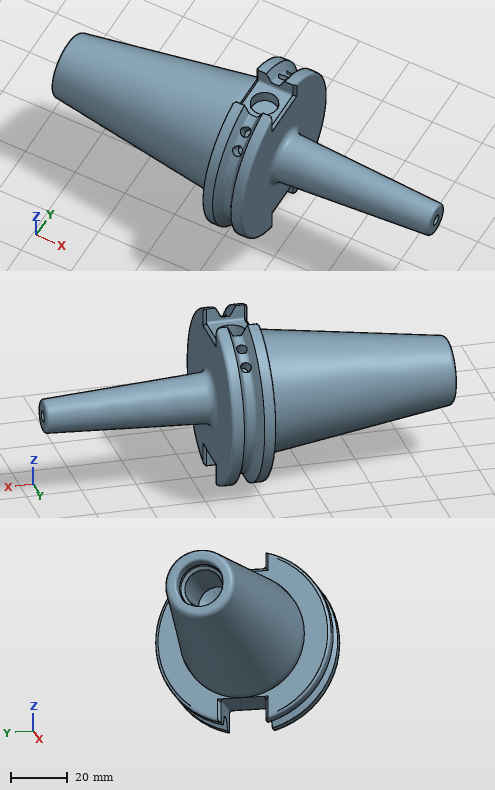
import cadquery as cq
import math


total_length = 148.2

gauge_x = 68.2
gauge_radius = 22.2
taper_slope = 7 / 48
taper_end_round = 2.0

flange_start = 71.3
flange_end = 87.3
flange_radius = 31.7
flange_round = 1.0

groove_floor_radius = 28.0
groove_floor_width = 3.1
groove_wall_angle = 30.0
groove_root_round = 1.0

nose_tip_radius = 6.1
nose_angle = 3.0
nose_tip_round = 1.0
nose_root_round = 2.7

through_bore_radius = 2.0
thread_radius = 6.8
thread_depth = 29.6
thread_mouth_radius = 8.0
thread_mouth_depth = 5.8
thread_mouth_angle = 90.0
counterbore_radius = 8.3
counterbore_depth = 5.0
counterbore_rim_round = 0.9
drill_tip_angle = 118.0

slot_width = 16.2
slot_corner_round = 1.0
slot_chamfer = 1.0
slot_clearance = 1.5
top_slot_floor = 24.9
bottom_slot_floor = gauge_radius

chip_hole_diameter = 10.1
chip_hole_depth = 4.6

screw_hole_diameter = 3.7
screw_hole_depth = 6.0
screw_hole_angles = (45, 60, 120, 135)

flange_middle = (flange_start + flange_end) / 2
flange_width = flange_end - flange_start
taper_end_radius = gauge_radius - gauge_x * taper_slope
nose_length = total_length - flange_end
nose_root_radius = nose_tip_radius + nose_length * math.tan(math.radians(nose_angle))


def revolve_about_x(profile):
    return profile.close().revolve(360, (0, 0, 0), (1, 0, 0))


def make_taper_and_nose():
    """Taper, gauge cylinder and nose, with the free ends rounded."""
    taper = revolve_about_x(
        cq.Workplane("XZ")
        .lineTo(0, taper_end_radius)
        .lineTo(gauge_x, gauge_radius)
        .lineTo(flange_middle, gauge_radius)
        .lineTo(flange_middle, 0)
    )
    nose = revolve_about_x(
        cq.Workplane("XZ")
        .moveTo(flange_end, 0)
        .lineTo(flange_end, nose_root_radius)
        .lineTo(total_length, nose_tip_radius)
        .lineTo(total_length, 0)
    )
    taper = taper.faces("<X").edges().fillet(taper_end_round)
    nose = nose.faces(">X").edges().fillet(nose_tip_round)
    return taper, nose


def make_flange():
    """Flange disc with rounded rims and a V groove with rounded roots."""
    rim_radius = flange_radius - flange_round
    disc = revolve_about_x(
        cq.Workplane("XZ")
        .moveTo(flange_start, 0)
        .lineTo(flange_start, rim_radius)
        .radiusArc((flange_start + flange_round, flange_radius), flange_round)
        .lineTo(flange_end - flange_round, flange_radius)
        .radiusArc((flange_end, rim_radius), flange_round)
        .lineTo(flange_end, 0)
    )
    half_floor = groove_floor_width / 2
    wall_run = (flange_radius - groove_floor_radius) * math.tan(math.radians(groove_wall_angle))
    groove = revolve_about_x(
        cq.Workplane("XZ")
        .moveTo(flange_middle - half_floor, groove_floor_radius)
        .lineTo(flange_middle + half_floor, groove_floor_radius)
        .lineTo(flange_middle + half_floor + wall_run, flange_radius)
        .lineTo(flange_middle - half_floor - wall_run, flange_radius)
    )
    root_edges = cq.selectors.RadiusNthSelector(0)
    return disc.cut(groove.edges(root_edges).fillet(groove_root_round))


def slot_block(x, floor, length):
    """Block as wide as a drive slot, reaching up from the floor past the flange rim."""
    height = flange_radius - floor + slot_clearance
    return (
        cq.Workplane("YZ", origin=(x, 0, floor + height / 2))
        .rect(slot_width, height)
        .extrude(length)
    )


def slot_flare(x, floor, outward):
    """Prism that chamfers the slot rim at the flange face x; outward is -1 or +1."""
    height = flange_radius - floor + slot_chamfer + slot_clearance
    start = x - outward * slot_chamfer
    section = cq.Workplane("YZ", origin=(start, 0, floor + height / 2)).rect(slot_width, height)
    return (
        section.workplane(offset=outward * slot_chamfer)
        .rect(slot_width + 2 * slot_chamfer, height + 2 * slot_chamfer)
        .loft(ruled=True)
    )


def drive_slot(floor, flare_floor):
    """Upward-facing slot across the flange, its rims chamfered down to flare_floor."""
    slot = slot_block(flange_start, floor, flange_width)
    slot = slot.edges("|X and <Z").fillet(slot_corner_round)
    slot = slot.union(slot_flare(flange_start, flare_floor, -1))
    return slot.union(slot_flare(flange_end, flare_floor, 1))


def drawbar_bore():
    """Rounded counterbore, countersunk thread hole with drill point, and axial through bore."""
    mouth_run = thread_mouth_radius - thread_radius
    mouth_end = thread_mouth_depth + mouth_run / math.tan(math.radians(thread_mouth_angle / 2))
    tip_length = (thread_radius - through_bore_radius) / math.tan(math.radians(drill_tip_angle / 2))
    return revolve_about_x(
        cq.Workplane("XZ")
        .lineTo(0, counterbore_radius + counterbore_rim_round)
        .radiusArc((counterbore_rim_round, counterbore_radius), -counterbore_rim_round)
        .lineTo(counterbore_depth, counterbore_radius)
        .lineTo(thread_mouth_depth, thread_mouth_radius)
        .lineTo(mouth_end, thread_radius)
        .lineTo(thread_depth, thread_radius)
        .lineTo(thread_depth + tip_length, through_bore_radius)
        .lineTo(total_length, through_bore_radius)
        .lineTo(total_length, 0)
    )


def screw_hole(angle):
    """Radial hole in the floor of the V groove."""
    direction = cq.Vector(0, math.cos(math.radians(angle)), math.sin(math.radians(angle)))
    bottom = cq.Vector(flange_middle, 0, 0) + direction * (groove_floor_radius - screw_hole_depth)
    length = flange_radius - groove_floor_radius + screw_hole_depth
    return cq.Workplane(cq.Solid.makeCylinder(screw_hole_diameter / 2, length, bottom, direction))


def chip_hole():
    """Blind round pocket in the floor of the top slot."""
    return (
        cq.Workplane("XY", origin=(flange_middle, 0, top_slot_floor - chip_hole_depth))
        .circle(chip_hole_diameter / 2)
        .extrude(chip_hole_depth)
    )


top_slot = drive_slot(top_slot_floor, top_slot_floor)
bottom_slot = drive_slot(bottom_slot_floor, bottom_slot_floor + slot_chamfer)
bottom_slot = bottom_slot.rotate((0, 0, 0), (1, 0, 0), 180)

flange = make_flange().cut(top_slot).cut(bottom_slot)
taper, nose = make_taper_and_nose()

edge_margin = 0.1
nose_root_reach = nose_root_radius + edge_margin
nose_root_edge = cq.selectors.BoxSelector(
    (flange_end - edge_margin, -nose_root_reach, -nose_root_reach),
    (flange_end + edge_margin, nose_root_reach, nose_root_reach),
    boundingbox=True,
)
flange_with_nose = flange.union(nose).edges(nose_root_edge).fillet(nose_root_round)

result = flange_with_nose.union(taper).cut(drawbar_bore()).cut(chip_hole())
for hole_angle in screw_hole_angles:
    result = result.cut(screw_hole(hole_angle))